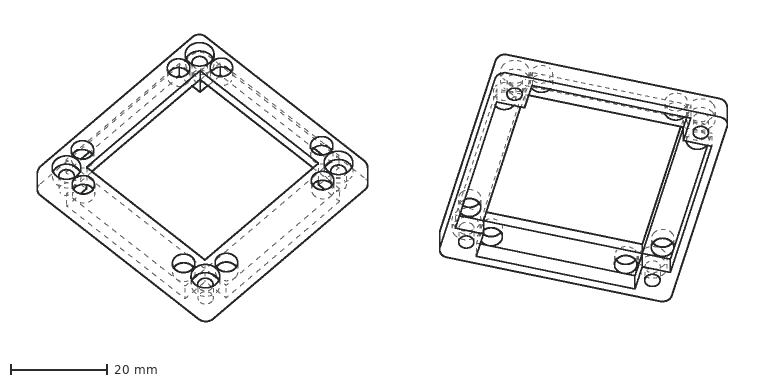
import cadquery as cq

side = 49.8
height = 7.7
edge_radius = 2.1
window_side = 34.05
plate_thickness = 3.2
wall_thickness = 1.85

screw_inset = 4.95
screw_diameter = 3.2
head_diameter = 6.0
head_depth = 3.0

plain_diameter = 4.7
plain_edge_inset = wall_thickness + plain_diameter / 2
plain_corner_inset = 10.45

post_side = (side - window_side) / 2
underside_depth = height - plate_thickness
corner_signs = [(sx, sy) for sx in (-1, 1) for sy in (-1, 1)]


def corner_points(inset_x, inset_y):
    """Four mirrored points, inset from the outer sides."""
    return [(sx * (side / 2 - inset_x), sy * (side / 2 - inset_y)) for sx, sy in corner_signs]


def rounded_body():
    """Block with rounded vertical edges and a rounded top rim."""
    block = cq.Workplane("XY").box(side, side, height, centered=(True, True, False))
    return block.edges("|Z").fillet(edge_radius).faces(">Z").edges().fillet(edge_radius)


def underside_recess():
    """Space inside the skirt, leaving a square post in each corner."""
    inner_side = side - 2 * wall_thickness
    recess = cq.Workplane("XY").rect(inner_side, inner_side).extrude(underside_depth)
    posts = (
        cq.Workplane("XY")
        .pushPoints(corner_points(post_side / 2, post_side / 2))
        .rect(post_side, post_side)
        .extrude(underside_depth)
    )
    return recess.cut(posts)


def hole_cutters(points, diameter, bottom=0.0):
    """Vertical cylinders from the given level to the top face."""
    return (
        cq.Workplane("XY")
        .workplane(offset=bottom)
        .pushPoints(points)
        .circle(diameter / 2)
        .extrude(height - bottom)
    )


window = cq.Workplane("XY").rect(window_side, window_side).extrude(height)
screw_points = corner_points(screw_inset, screw_inset)
plain_points = (
    corner_points(plain_edge_inset, plain_corner_inset)
    + corner_points(plain_corner_inset, plain_edge_inset)
)

result = (
    rounded_body()
    .cut(underside_recess())
    .cut(window)
    .cut(hole_cutters(screw_points, screw_diameter))
    .cut(hole_cutters(screw_points, head_diameter, height - head_depth))
    .cut(hole_cutters(plain_points, plain_diameter))
)